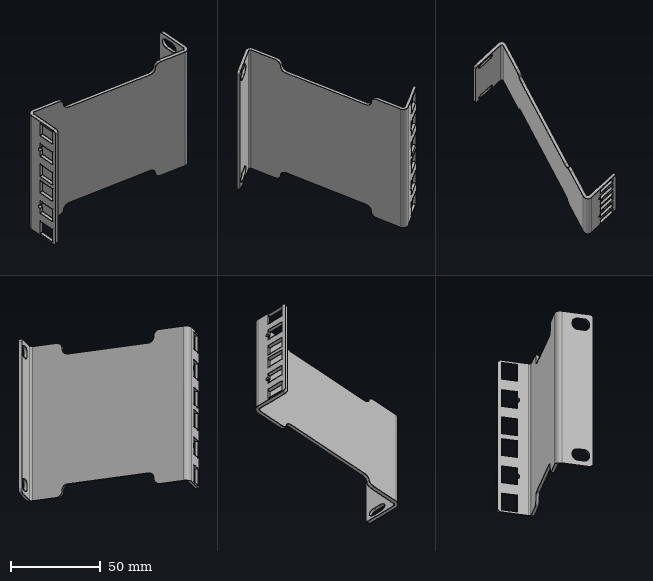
import cadquery as cq
import math

width = 28.8
depth = 100.0
height = 88.7
thickness = 2.0
flange_length = 22.0
inner_radius = 1.0
outer_radius = inner_radius + thickness
corner_radius = 2.0

square_size = 9.6
square_x = 0.2
inner_spacing = 12.7
outer_pitch = 15.9
square_levels = [inner_spacing / 2 + i * outer_pitch for i in range(3)]
nub_radius = 1.2

slot_length = 10.5
slot_height = 6.5
slot_x = 0.0

notch_length = 51.6
notch_radius = 3.5

bend_x = width / 2 - outer_radius
bend_y = depth / 2 - outer_radius
mid_radius = inner_radius + thickness / 2
tilt = math.atan2(bend_x, bend_y) + math.asin(mid_radius / math.hypot(bend_x, bend_y))
cut_length = 4 * thickness


def bend_point(radius, angle, side):
    """Point on the rear (side=1) or front (side=-1) bend; angle is measured on the rear one."""
    x = bend_x + radius * math.cos(angle)
    y = bend_y + radius * math.sin(angle)
    return (side * x, side * y)


def bent_sheet():
    tip_x = flange_length - width / 2
    flange_inside = depth / 2 - thickness
    at_flange = math.pi / 2
    at_web = -tilt
    halfway = (at_flange + at_web) / 2
    profile = cq.Workplane("XY").workplane(offset=-height / 2).moveTo(tip_x, -depth / 2)
    for side in (-1, 1):
        profile = (
            profile
            .lineTo(*bend_point(outer_radius, at_flange, side))
            .threePointArc(
                bend_point(outer_radius, halfway, side),
                bend_point(outer_radius, at_web, side),
            )
            .lineTo(*bend_point(inner_radius, at_web, -side))
            .threePointArc(
                bend_point(inner_radius, halfway, -side),
                bend_point(inner_radius, at_flange, -side),
            )
            .lineTo(side * tip_x, -side * flange_inside)
            .lineTo(side * tip_x, -side * depth / 2)
        )
    sheet = profile.close().extrude(height)
    return sheet.edges("|Y").fillet(corner_radius)


def square_holes():
    levels = [sign * level for level in square_levels for sign in (-1, 1)]
    front = cq.Workplane("XZ", origin=(square_x, -depth / 2, 0))
    squares = (
        front.pushPoints([(0, z) for z in levels])
        .rect(square_size, square_size)
        .extrude(cut_length, both=True)
    )
    relief_level = square_levels[1]
    reliefs = (
        front.pushPoints([(-square_size / 2, sign * relief_level) for sign in (-1, 1)])
        .circle(nub_radius)
        .extrude(cut_length, both=True)
    )
    return squares.union(reliefs)


def oblong_holes():
    slot_level = square_levels[2]
    return (
        cq.Workplane("XZ", origin=(slot_x, depth / 2, 0))
        .pushPoints([(0, -slot_level), (0, slot_level)])
        .slot2D(slot_length, slot_height)
        .extrude(cut_length, both=True)
    )


def web_notch():
    """Cutter for the top edge, square to the web; its local x runs along the web."""
    web_plane = cq.Plane(
        origin=(0, 0, height / 2),
        xDir=(math.sin(tilt), math.cos(tilt), 0),
        normal=(math.cos(tilt), -math.sin(tilt), 0),
    )
    r = notch_radius
    floor_end = notch_length / 2
    middle = floor_end + r
    opening_end = middle + r
    return (
        cq.Workplane(web_plane)
        .moveTo(-floor_end, -2 * r)
        .lineTo(floor_end, -2 * r)
        .radiusArc((middle, -r), -r)
        .radiusArc((opening_end, 0), r)
        .lineTo(-opening_end, 0)
        .radiusArc((-middle, -r), r)
        .radiusArc((-floor_end, -2 * r), -r)
        .close()
        .extrude(thickness, both=True)
    )


top_notch = web_notch()
bottom_notch = top_notch.mirror("XY")
result = (
    bent_sheet()
    .cut(square_holes())
    .cut(oblong_holes())
    .cut(top_notch)
    .cut(bottom_notch)
)